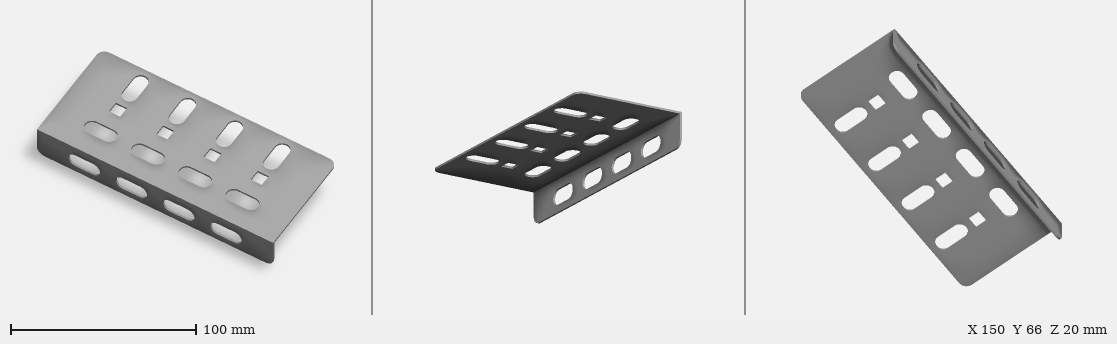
import cadquery as cq

length = 150.0
depth = 66.0
height = 20.0
thickness = 1.2
corner_radius = 5.0

hole_pitch = 30.0
hole_count = 4
slot_length = 20.0
slot_width = 9.0
square_side = 7.0

plate_slot_y = 17.0
square_y = 34.6
cross_slot_y = 52.2
flange_slot_z = 8.8

column_xs = [(i - (hole_count - 1) / 2) * hole_pitch for i in range(hole_count)]


def row(offset):
    """Points of one row of holes at a given offset across the sheet."""
    return [(x, offset) for x in column_xs]


def make_plate():
    """Horizontal plate with rounded rear corners and three rows of holes."""
    plate = (
        cq.Workplane("XY", origin=(0, 0, height - thickness))
        .rect(length, depth)
        .extrude(thickness)
        .translate((0, depth / 2, 0))
        .edges("|Z and >Y")
        .fillet(corner_radius)
    )
    holes = cq.Workplane("XY")
    long_slots = holes.pushPoints(row(plate_slot_y)).slot2D(slot_length, slot_width).extrude(height)
    squares = holes.pushPoints(row(square_y)).rect(square_side, square_side).extrude(height)
    cross_slots = holes.pushPoints(row(cross_slot_y)).slot2D(slot_length, slot_width, 90).extrude(height)
    return plate.cut(long_slots).cut(squares).cut(cross_slots)


def make_flange():
    """Vertical front flange with rounded lower corners and one row of slots."""
    flange = (
        cq.Workplane("XY")
        .rect(length, thickness)
        .extrude(height)
        .translate((0, thickness / 2, 0))
        .edges("|Y and <Z")
        .fillet(corner_radius)
    )
    slots = (
        cq.Workplane("XZ")
        .pushPoints(row(flange_slot_z))
        .slot2D(slot_length, slot_width)
        .extrude(-thickness)
    )
    return flange.cut(slots)


result = make_plate().union(make_flange())